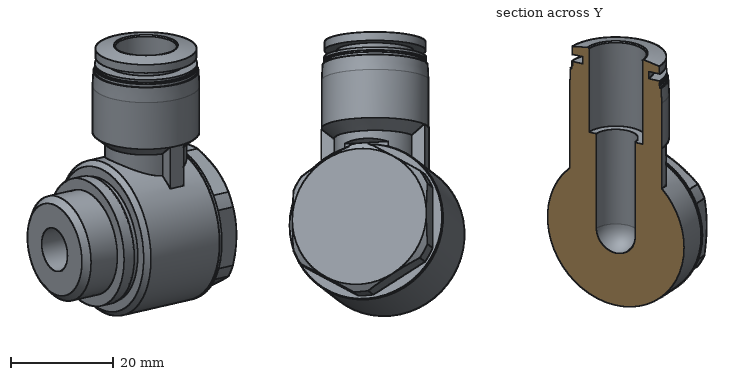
import cadquery as cq
import math


body_diameter = 31.0
body_back = 6.7
body_front = -10.85
body_chamfer = 1.0
neck_ring_diameter = 25.0
neck_ring_front = -11.85
collar_diameter = 25.5
collar_front = -14.3
spigot_diameter = 21.0
spigot_front = -21.9
spigot_chamfer = 1.3

overall_length_y = 34.0
washer_diameter = 30.8
washer_back = 7.25
hex_across_flats = 27.1
hex_corner_diameter = 29.65
hex_chamfer_length = 0.85
hex_back = spigot_front + overall_length_y

overall_height = 53.4
socket_top = overall_height - body_diameter / 2
socket_diameter = 20.95
socket_shoulder_diameter = 20.6
socket_bottom = 19.95
socket_taper_start = 29.65
socket_shoulder = 32.65
ring_diameter = 20.0
ring_groove_diameter = 19.7
ring_groove_bottom = 33.2
ring_groove_top = 33.6
ring_top = 34.1
stem_diameter = 15.0
lip_diameter = 19.8
lip_bottom = 35.5
lip_edge_top = 37.2
mouth_diameter = 12.55
tube_diameter = 12.0
mouth_chamfer = (mouth_diameter - tube_diameter) / 2

stem_joint_diameter = 16
stem_joint_top = 17.95
overhang_front_height = 15.8
overhang_back_height = 16.4

rib_thickness = 3.2
passage_diameter = 8.7


def revolved(profile, plane):
    """Revolve (radius, height) points about the vertical axis of the plane."""
    return cq.Workplane(plane).polyline(profile).close().revolve(360, (0, 0), (0, 1))


def make_banjo():
    """Turned body, collar and chamfered spigot."""
    body_radius = body_diameter / 2
    spigot_radius = spigot_diameter / 2
    profile = [
        (0, washer_back),
        (washer_diameter / 2, washer_back),
        (washer_diameter / 2, body_back),
        (body_radius, body_back),
        (body_radius, body_front + body_chamfer),
        (body_radius - body_chamfer, body_front),
        (neck_ring_diameter / 2, body_front),
        (neck_ring_diameter / 2, neck_ring_front),
        (collar_diameter / 2, neck_ring_front),
        (collar_diameter / 2, collar_front),
        (spigot_radius, collar_front),
        (spigot_radius, spigot_front + spigot_chamfer),
        (spigot_radius - spigot_chamfer, spigot_front),
        (0, spigot_front),
    ]
    return revolved(profile, "XY")


def make_hex_head():
    """Hexagon with corners up and down, turned at its corners and back edge."""
    across_corners = hex_across_flats / math.cos(math.radians(30))
    head = (
        cq.Workplane("XZ")
        .transformed(rotate=(0, 0, 90))
        .polygon(6, across_corners)
        .extrude(-hex_back)
    )
    turned_blank = revolved(
        [
            (0, 0),
            (hex_corner_diameter / 2, 0),
            (hex_corner_diameter / 2, hex_back - hex_chamfer_length),
            (hex_across_flats / 2, hex_back),
            (0, hex_back),
        ],
        "XY",
    )
    return head.intersect(turned_blank)


def make_socket():
    """Tube socket with its ring groove, release collet and conical underside."""
    profile = [
        (0, stem_joint_top),
        (stem_joint_diameter / 2, stem_joint_top),
        (socket_diameter / 2, socket_bottom),
        (socket_diameter / 2, socket_taper_start),
        (socket_shoulder_diameter / 2, socket_shoulder),
        (ring_diameter / 2, socket_shoulder),
        (ring_diameter / 2, ring_groove_bottom),
        (ring_groove_diameter / 2, ring_groove_bottom),
        (ring_groove_diameter / 2, ring_groove_top),
        (ring_diameter / 2, ring_groove_top),
        (ring_diameter / 2, ring_top),
        (stem_diameter / 2, ring_top),
        (stem_diameter / 2, lip_bottom),
        (lip_diameter / 2, lip_bottom),
        (lip_diameter / 2, lip_edge_top),
        (mouth_diameter / 2, socket_top),
        (0, socket_top),
    ]
    return revolved(profile, "XZ")


def make_stem_joint():
    """Round stem whose part behind the body ends in a sloped underside."""
    stem_radius = stem_joint_diameter / 2
    stem = cq.Workplane("XY").circle(stem_radius).extrude(stem_joint_top)
    below_overhang = (
        cq.Workplane("YZ")
        .polyline([
            (body_back, 0),
            (body_back, overhang_front_height),
            (stem_radius, overhang_back_height),
            (stem_radius, 0),
        ])
        .close()
        .extrude(stem_radius, both=True)
    )
    return stem.cut(below_overhang)


def make_ribs():
    """Flat web on both sides of the stem, as wide as the socket."""
    return (
        cq.Workplane("XY")
        .rect(socket_diameter, rib_thickness)
        .extrude(socket_bottom)
    )


def make_passage():
    """Elbow bore with a spherical corner and the wider tube bore above it."""
    radius = passage_diameter / 2
    front_bore = cq.Workplane("XZ").circle(radius).extrude(-spigot_front)
    upper_bore = cq.Workplane("XY").circle(radius).extrude(socket_top)
    corner = cq.Workplane("XY").sphere(radius)
    tube_bore = revolved(
        [
            (0, socket_bottom),
            (tube_diameter / 2, socket_bottom),
            (tube_diameter / 2, socket_top - mouth_chamfer),
            (mouth_diameter / 2, socket_top),
            (0, socket_top),
        ],
        "XZ",
    )
    return front_bore.union(upper_bore).union(corner).union(tube_bore)


result = (
    make_banjo()
    .union(make_hex_head())
    .union(make_socket())
    .union(make_stem_joint())
    .union(make_ribs())
    .cut(make_passage())
)